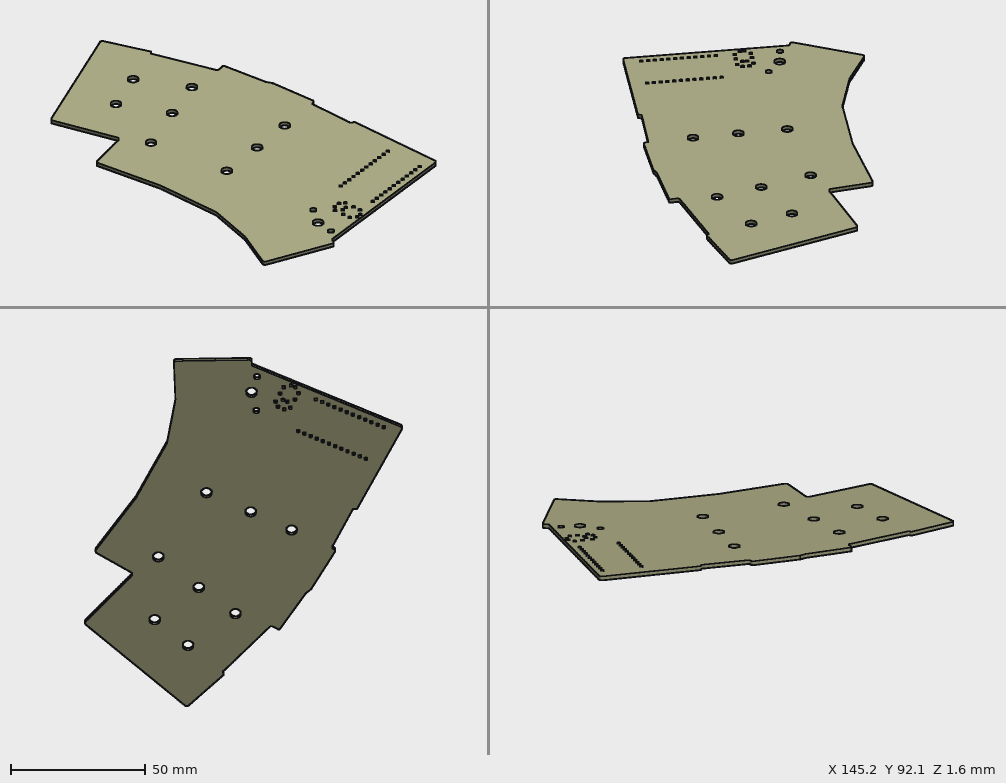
import cadquery as cq
import math

thickness = 1.6
corner_radius = 1.0
step_radius = 0.5
straight_bend = 0

outline = [
    (-72.9, 30.0, corner_radius),
    (-53.7, 35.4, step_radius),
    (-53.1, 34.4, step_radius),
    (-26.7, 40.5, corner_radius),
    (-26.9, 44.1, step_radius),
    (-8.1, 45.2, straight_bend),
    (-5.7, 46.0, straight_bend),
    (13.6, 46.0, corner_radius),
    (13.8, 44.1, step_radius),
    (32.5, 43.0, step_radius),
    (33.2, 44.3, step_radius),
    (72.6, 42.3, corner_radius),
    (69.4, -20.0, step_radius),
    (71.6, -21.2, corner_radius),
    (57.2, -46.5, corner_radius),
    (42.3, -37.6, straight_bend),
    (24.7, -31.5, straight_bend),
    (-2.0, -30.2, straight_bend),
    (-29.9, -32.5, corner_radius),
    (-31.4, -15.1, corner_radius),
    (-59.1, -21.0, corner_radius),
]

large_hole_diameter = 4.0
large_holes = [
    (-49.1, 17.5),
    (-45.2, 1.3),
    (-28.5, 26.4),
    (-25.0, 9.0),
    (-20.5, -10.6),
    (13.5, 27.3),
    (13.2, 10.2),
    (12.6, -8.3),
    (59.1, -14.5),
]

locating_hole_diameter = 2.3
locating_holes = [(53.0, -9.1), (66.0, -16.0)]

component_tilt = -3

header_diameter = 1.1
header_start = (54.0, 36.7)
header_pitch = 2.54
header_row_gap = 15.2
header_rows = 2
header_pins_per_row = 12

jack_diameter = 1.2
jack_start = (58.4, -1.6)
jack_pairs = [
    (0, 1.3),
    (1.6, 3.0),
    (3.5, 0.9),
    (5.5, 3.0),
    (8.5, 3.0),
    (10.5, 0.9),
]


def tilted(origin, along, up):
    """Point at the given offsets from origin, in axes turned by the component tilt."""
    angle = math.radians(component_tilt)
    x = origin[0] + along * math.cos(angle) - up * math.sin(angle)
    y = origin[1] + along * math.sin(angle) + up * math.cos(angle)
    return (x, y)


def make_board():
    corners = [(x, y) for x, y, radius in outline]
    board = cq.Workplane("XY").polyline(corners).close().extrude(thickness)
    for x, y, radius in outline:
        if radius > 0:
            edge = cq.selectors.NearestToPointSelector((x, y, thickness / 2))
            board = board.edges("|Z").edges(edge).fillet(radius)
    return board


def drill(board, points, diameter):
    holes = cq.Workplane("XY").pushPoints(points).circle(diameter / 2).extrude(thickness)
    return board.cut(holes)


header_holes = [
    tilted(header_start, row * header_row_gap, -pin * header_pitch)
    for row in range(header_rows)
    for pin in range(header_pins_per_row)
]
jack_holes = [
    tilted(jack_start, along, side * offset)
    for along, offset in jack_pairs
    for side in (1, -1)
]

result = make_board()
result = drill(result, large_holes, large_hole_diameter)
result = drill(result, locating_holes, locating_hole_diameter)
result = drill(result, header_holes, header_diameter)
result = drill(result, jack_holes, jack_diameter)